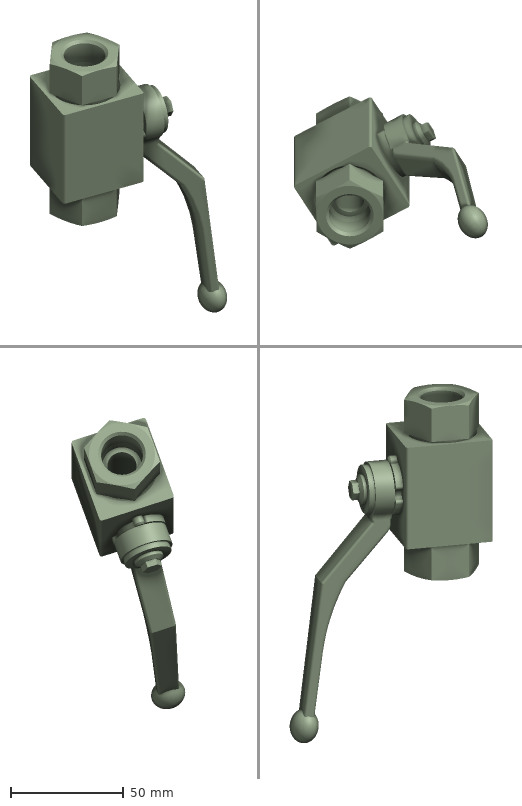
import cadquery as cq
import math

overall_height = 158.4

block_width = 35.0
block_front = -19.0
block_back = 21.0
block_height = 48.0
block_edge_radius = 1.1
flow_bore = 13.0

fitting_top = 41.3
hex_gap = 0.8
hex_flats = 30.0
hex_chamfer_diameter = 29.5
hex_chamfer_drop = 0.8
spigot_diameter = 29.0
spigot_depth = 9.5
socket_mouth = 32.0
port_diameter = 18.7
port_mouth = 21.2
port_end_diameter = 17.5
port_straight_depth = 11.2
port_depth = 15.7

pin_diameter = 5.0
pin_orbit = 12.0
pin_height = 3.8
pin_chamfer = 0.8
disc_diameter = 25.5
disc_thickness = 3.3
notch_lip_radius = 1.3
rim_tolerance = 0.02

neck_diameter = 2 * pin_orbit - pin_diameter
hub_diameter = 24.5
hub_start = 3.8
hub_end = 12.7
cap_diameter = 22.0
cap_end = 15.2
collar_diameter = 13.5
collar_end = 16.6
cone_end = 18.0
bolt_flats = 7.9
bolt_end = 20.9

hub_blend_radius = 4.8
lever_root_half_width = 6.7
lever_root_z = -math.sqrt(
    (hub_diameter / 2 + hub_blend_radius) ** 2 - (lever_root_half_width + hub_blend_radius) ** 2
)
lever_tip_z = -103.7
lever_tip_half_width = 4.9
lever_edge_radius = 1.1
lever_inner_edge_radius = 1.7
root_corner_radius = 6.3

outer_root = (block_back + hub_end, -14.0)
outer_bend = (57.0, -40.5)
outer_tip = (65.0, lever_tip_z)
inner_tip = (59.7, lever_tip_z)
inner_curve_end = (56.0, -74.5)
inner_curve_middle = (52.1, -56.5)
inner_bend = (45.5, -41.0)
inner_root = (block_back + hub_start, -17.7)

knob_radius = 7.8
knob_half_thickness = 6.3
knob_tilt = 9.0
knob_center_y = 63.5
knob_bottom = fitting_top - overall_height

hex_corner_factor = 2 / math.sqrt(3)
block_top = block_height / 2


def post(diameter, start, end, x=0.0, z=0.0):
    """Cylinder along +Y between two heights above the back face of the block."""
    base = cq.Vector(x, block_back + start, z)
    cylinder = cq.Solid.makeCylinder(diameter / 2, end - start, base, cq.Vector(0, 1, 0))
    return cq.Workplane(obj=cylinder)


def make_block():
    depth = block_back - block_front
    block = (
        cq.Workplane("XY")
        .box(block_width, depth, block_height)
        .translate((0, (block_back + block_front) / 2, 0))
        .edges("|Z")
        .fillet(block_edge_radius)
    )

    socket_floor = block_top - spigot_depth
    countersink = (socket_mouth - spigot_diameter) / 2
    socket = (
        cq.Workplane("XZ")
        .lineTo(flow_bore / 2, 0)
        .lineTo(flow_bore / 2, socket_floor)
        .lineTo(spigot_diameter / 2, socket_floor)
        .lineTo(spigot_diameter / 2, block_top - countersink)
        .lineTo(socket_mouth / 2, block_top)
        .lineTo(0, block_top)
        .close()
        .revolve(360, (0, 0, 0), (0, 1, 0))
    )
    block = block.cut(socket).cut(socket.mirror("XY"))

    pin = post(pin_diameter, 0, pin_height, z=pin_orbit).faces(">Y").chamfer(pin_chamfer)
    return block.union(pin)


def make_fitting(side):
    """Hexagonal end fitting; side is +1 for the top end and -1 for the bottom end."""
    hex_bottom = block_top + hex_gap
    hex_height = fitting_top - hex_bottom
    hex_corners = hex_flats * hex_corner_factor
    head = (
        cq.Workplane("XY", origin=(0, 0, hex_bottom))
        .polygon(6, hex_corners)
        .extrude(hex_height)
        .rotate((0, 0, 0), (0, 0, 1), 90)
    )
    chamfer_envelope = (
        cq.Workplane("XZ")
        .moveTo(0, hex_bottom)
        .lineTo(hex_corners / 2, hex_bottom)
        .lineTo(hex_corners / 2, fitting_top - hex_chamfer_drop)
        .lineTo(hex_chamfer_diameter / 2, fitting_top)
        .lineTo(0, fitting_top)
        .close()
        .revolve(360, (0, 0, 0), (0, 1, 0))
    )
    spigot = (
        cq.Workplane("XY", origin=(0, 0, block_top - spigot_depth))
        .circle(spigot_diameter / 2)
        .extrude(spigot_depth + hex_gap)
    )

    port_chamfer = (port_mouth - port_diameter) / 2
    port_floor = fitting_top - port_depth
    port = (
        cq.Workplane("XZ")
        .lineTo(flow_bore / 2, 0)
        .lineTo(flow_bore / 2, port_floor)
        .lineTo(port_end_diameter / 2, port_floor)
        .lineTo(port_diameter / 2, fitting_top - port_straight_depth)
        .lineTo(port_diameter / 2, fitting_top - port_chamfer)
        .lineTo(port_mouth / 2, fitting_top)
        .lineTo(0, fitting_top)
        .close()
        .revolve(360, (0, 0, 0), (0, 1, 0))
    )
    fitting = head.intersect(chamfer_envelope).union(spigot).cut(port)
    return fitting if side > 0 else fitting.mirror("XY")


def make_stop_disc():
    """Disc with a quarter-turn slot for the stop pin and a matching round notch on the -X side."""
    disc = post(disc_diameter, 0, disc_thickness)
    notch = post(pin_diameter, 0, disc_thickness, x=-pin_orbit)

    slot_ring = post(disc_diameter + pin_diameter, 0, disc_thickness)
    slot_ring = slot_ring.cut(post(2 * pin_orbit - pin_diameter, 0, disc_thickness))
    quadrant = cq.Workplane("XY").box(
        disc_diameter, 2 * disc_diameter, disc_diameter, centered=(False, True, False)
    )
    slot = slot_ring.intersect(quadrant)
    slot = slot.union(post(pin_diameter, 0, disc_thickness, z=pin_orbit))
    slot = slot.union(post(pin_diameter, 0, disc_thickness, x=pin_orbit))

    disc = disc.cut(notch).cut(slot)

    def is_lip(edge):
        center = edge.Center()
        return abs(math.hypot(center.x, center.z) - disc_diameter / 2) < rim_tolerance

    lips = [edge for edge in disc.edges("|Y").vals() if is_lip(edge)]
    return disc.newObject(lips).fillet(notch_lip_radius)


def make_hub():
    hub = post(neck_diameter, disc_thickness, hub_start)
    hub = hub.union(post(hub_diameter, hub_start, hub_end))
    hub = hub.union(post(cap_diameter, hub_end, cap_end))
    hub = hub.union(post(collar_diameter, cap_end, collar_end))

    bolt_corners = bolt_flats * hex_corner_factor
    cone = cq.Solid.makeCone(
        collar_diameter / 2,
        bolt_corners / 2,
        cone_end - collar_end,
        cq.Vector(0, block_back + collar_end, 0),
        cq.Vector(0, 1, 0),
    )
    bolt = (
        cq.Workplane("XZ", origin=(0, block_back + cone_end, 0))
        .polygon(6, bolt_corners)
        .extrude(cone_end - bolt_end)
    )
    return hub.union(cq.Workplane(obj=cone)).union(bolt)


def midpoint(start, end):
    return ((start[0] + end[0]) / 2, (start[1] + end[1]) / 2)


def round_lever_edges(lever, points, radius):
    """Fillet the edges nearest to the given (Y, Z) points, on both sides of the lever."""
    edges = []
    for y, z in points:
        for x in (-lever_root_half_width, lever_root_half_width):
            edges.append(lever.edges(cq.selectors.NearestToPointSelector((x, y, z))).val())
    return lever.newObject(edges).fillet(radius)


def make_lever():
    side = (
        cq.Workplane("YZ")
        .moveTo(outer_root[0], lever_root_z)
        .lineTo(*outer_root)
        .lineTo(*outer_bend)
        .lineTo(*outer_tip)
        .lineTo(*inner_tip)
        .lineTo(*inner_curve_end)
        .threePointArc(inner_curve_middle, inner_bend)
        .lineTo(*inner_root)
        .lineTo(inner_root[0], lever_root_z)
        .close()
        .extrude(lever_root_half_width, both=True)
    )
    root_corner = cq.selectors.NearestToPointSelector((0, *inner_root))
    side = side.edges("|X").edges(root_corner).fillet(root_corner_radius)

    taper = (
        cq.Workplane("XZ")
        .moveTo(-lever_root_half_width, lever_root_z)
        .lineTo(lever_root_half_width, lever_root_z)
        .lineTo(lever_tip_half_width, lever_tip_z)
        .lineTo(-lever_tip_half_width, lever_tip_z)
        .close()
        .extrude(-outer_tip[0])
    )
    lever = side.intersect(taper)

    outer_points = (midpoint(outer_root, outer_bend), midpoint(outer_bend, outer_tip), outer_root)
    inner_points = (
        midpoint(inner_root, inner_bend),
        inner_curve_middle,
        midpoint(inner_curve_end, inner_tip),
    )
    lever = round_lever_edges(lever, outer_points, lever_edge_radius)
    return round_lever_edges(lever, inner_points, lever_inner_edge_radius)


def make_hub_blend():
    """Web that joins the round hub to the lever root with a concave arc on each side."""
    blend_x = lever_root_half_width + hub_blend_radius
    reach = math.hypot(blend_x, lever_root_z)
    touch_share = 1 - hub_blend_radius / reach
    hub_touch = (blend_x * touch_share, lever_root_z * touch_share)
    middle_angle = (math.pi + math.atan2(hub_touch[1] - lever_root_z, hub_touch[0] - blend_x)) / 2
    arc_middle = (
        blend_x + hub_blend_radius * math.cos(middle_angle),
        lever_root_z + hub_blend_radius * math.sin(middle_angle),
    )
    return (
        cq.Workplane("XZ", origin=(0, block_back + hub_start, 0))
        .lineTo(*hub_touch)
        .threePointArc(arc_middle, (lever_root_half_width, lever_root_z))
        .lineTo(-lever_root_half_width, lever_root_z)
        .threePointArc((-arc_middle[0], arc_middle[1]), (-hub_touch[0], hub_touch[1]))
        .close()
        .extrude(hub_start - hub_end)
    )


def make_knob():
    tilt = math.radians(knob_tilt)
    half_height = math.hypot(knob_radius * math.cos(tilt), knob_half_thickness * math.sin(tilt))
    return (
        cq.Workplane("XY")
        .ellipseArc(knob_radius, knob_half_thickness, -90, 90, startAtCurrent=False)
        .close()
        .revolve(360, (0, 0, 0), (0, 1, 0))
        .rotate((0, 0, 0), (1, 0, 0), knob_tilt)
        .translate((0, knob_center_y, knob_bottom + half_height))
    )


def make_handle():
    handle = make_stop_disc().union(make_hub())
    for piece in (make_hub_blend(), make_lever(), make_knob()):
        handle = handle.union(piece)
    return handle


block = make_block()
fittings = [make_fitting(side) for side in (1, -1)]
handle = make_handle()

result = cq.Compound.makeCompound([part.solids().val() for part in (block, *fittings, handle)])